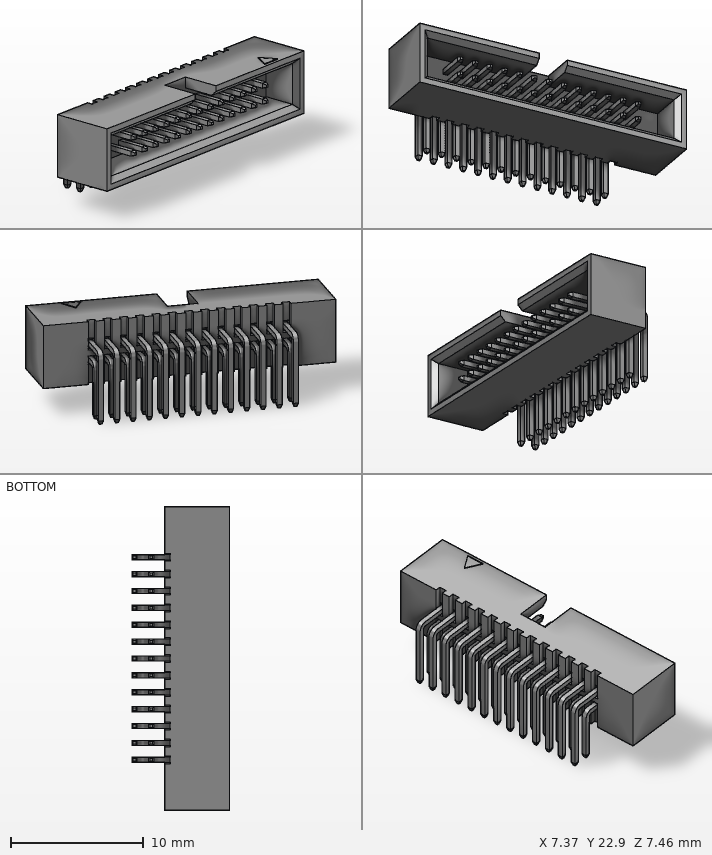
import cadquery as cq


PITCH = 1.27
COLUMNS = 13

BODY_DEPTH = 4.9
BODY_LENGTH = 22.86
BODY_HEIGHT = 5.0
TOP_Z = BODY_HEIGHT / 2
WALL = 0.87
CAVITY_DEPTH = 3.0
MOUTH_CHAMFER = 0.41
KEY_SLOT_WIDTH = 2.4

GROOVE_WIDTH = 0.6
GROOVE_DEPTH = 0.42
ENTRY_HEIGHT = 0.8
ENTRY_CHAMFER = 0.2

MARKER_SIDE = 1.5
MARKER_HEIGHT = 0.06
MARKER_FRONT_GAP = 0.28
MARKER_Y = 7.95

PIN_WIDTH = 0.4
PIN_HALF = PIN_WIDTH / 2
TIP_WIDTH = 0.2
TAIL_REACH = 2.47
TAIL_END_Z = TOP_Z - 7.4
TIP_LENGTH = 0.3
CONTACT_FRONT_GAP = 0.4
CONTACT_END_X = BODY_DEPTH - CONTACT_FRONT_GAP
BEND_INNER_RADIUS = 0.2
BEND_OUTER_RADIUS = BEND_INNER_RADIUS + PIN_WIDTH

UPPER_ROW_Z = PITCH / 2
LOWER_ROW_Z = -PITCH / 2
UPPER_TAIL_X = PIN_HALF - TAIL_REACH
LOWER_TAIL_X = UPPER_TAIL_X + PITCH
COLUMN_YS = [(i - (COLUMNS - 1) / 2) * PITCH for i in range(COLUMNS)]


def box(x_range, y_range, z_range):
    """Box between the given limits along each axis."""
    size = [high - low for low, high in (x_range, y_range, z_range)]
    corner = (x_range[0], y_range[0], z_range[0])
    return cq.Workplane("XY").box(*size, centered=False).translate(corner)


def make_shell():
    """Housing block with its cavity, chamfered mouth edges and polarising slot."""
    half_length = BODY_LENGTH / 2
    cavity_back = BODY_DEPTH - CAVITY_DEPTH
    cavity_half_length = half_length - WALL
    cavity_top = TOP_Z - WALL
    half_slot = KEY_SLOT_WIDTH / 2

    block = box((0, BODY_DEPTH), (-half_length, half_length), (-TOP_Z, TOP_Z))
    cavity = box(
        (cavity_back, BODY_DEPTH),
        (-cavity_half_length, cavity_half_length),
        (-cavity_top, cavity_top),
    )
    key_slot = box((cavity_back, BODY_DEPTH), (-half_slot, half_slot), (0, TOP_Z))

    mouth_edges = cq.selectors.BoxSelector(
        (BODY_DEPTH - MOUTH_CHAMFER, -half_length + WALL / 2, -TOP_Z + WALL / 2),
        (BODY_DEPTH + MOUTH_CHAMFER, half_length - WALL / 2, TOP_Z - WALL / 2),
    )
    shell = block.cut(cavity).faces(">X").edges(mouth_edges).chamfer(MOUTH_CHAMFER)
    return shell.cut(key_slot)


def make_groove(y, row_z, outer_z):
    """Rear groove running from the outer face at outer_z past one pin, with its entry."""
    inner_z = row_z - ENTRY_HEIGHT / 2 if outer_z > row_z else row_z + ENTRY_HEIGHT / 2
    z_range = sorted((inner_z, outer_z))
    half_width = GROOVE_WIDTH / 2
    groove = box((0, GROOVE_DEPTH), (y - half_width, y + half_width), z_range)
    entry = (
        cq.Workplane("YZ", origin=(GROOVE_DEPTH, y, row_z))
        .rect(GROOVE_WIDTH, ENTRY_HEIGHT)
        .workplane(offset=ENTRY_CHAMFER)
        .rect(GROOVE_WIDTH - 2 * ENTRY_CHAMFER, ENTRY_HEIGHT - 2 * ENTRY_CHAMFER)
        .loft(ruled=True)
    )
    return groove.union(entry)


def make_marker():
    """Raised pin 1 triangle on the top face."""
    base_x = BODY_DEPTH - MARKER_FRONT_GAP
    apex_x = base_x - MARKER_SIDE * 3**0.5 / 2
    return (
        cq.Workplane("XY", origin=(0, MARKER_Y, TOP_Z))
        .moveTo(apex_x, 0)
        .lineTo(base_x, -MARKER_SIDE / 2)
        .lineTo(base_x, MARKER_SIDE / 2)
        .close()
        .extrude(MARKER_HEIGHT)
    )


def make_tip(plane, origin, length):
    """Pyramidal pin end that narrows away from its base plane."""
    return (
        cq.Workplane(plane, origin=origin)
        .rect(PIN_WIDTH, PIN_WIDTH)
        .workplane(offset=length)
        .rect(TIP_WIDTH, TIP_WIDTH)
        .loft(ruled=True)
    )


def make_pin(tail_x, row_z):
    """Bent square pin at Y = 0: horizontal contact, rounded bend and vertical tail."""
    contact_end = CONTACT_END_X - TIP_LENGTH
    tail_end = TAIL_END_Z + TIP_LENGTH
    outer_x = tail_x - PIN_HALF
    inner_x = tail_x + PIN_HALF
    top = row_z + PIN_HALF
    bottom = row_z - PIN_HALF
    bend_x = outer_x + BEND_OUTER_RADIUS
    bend_z = top - BEND_OUTER_RADIUS
    wire = (
        cq.Workplane("XZ")
        .moveTo(contact_end, bottom)
        .lineTo(contact_end, top)
        .lineTo(bend_x, top)
        .radiusArc((outer_x, bend_z), -BEND_OUTER_RADIUS)
        .lineTo(outer_x, tail_end)
        .lineTo(inner_x, tail_end)
        .lineTo(inner_x, bend_z)
        .radiusArc((bend_x, bottom), BEND_INNER_RADIUS)
        .close()
        .extrude(PIN_HALF, both=True)
    )
    contact_tip = make_tip("YZ", (contact_end, 0, row_z), TIP_LENGTH)
    tail_tip = make_tip("XY", (tail_x, 0, tail_end), -TIP_LENGTH)
    return wire.union(contact_tip).union(tail_tip)


def make_header():
    """Complete header as one solid."""
    header = make_shell().union(make_marker())
    upper_pin = make_pin(UPPER_TAIL_X, UPPER_ROW_Z)
    lower_pin = make_pin(LOWER_TAIL_X, LOWER_ROW_Z)
    for y in COLUMN_YS:
        header = header.cut(make_groove(y, UPPER_ROW_Z, TOP_Z))
        header = header.cut(make_groove(y, LOWER_ROW_Z, -TOP_Z))
        header = header.union(upper_pin.translate((0, y, 0)))
        header = header.union(lower_pin.translate((0, y, 0)))
    return header


result = make_header()